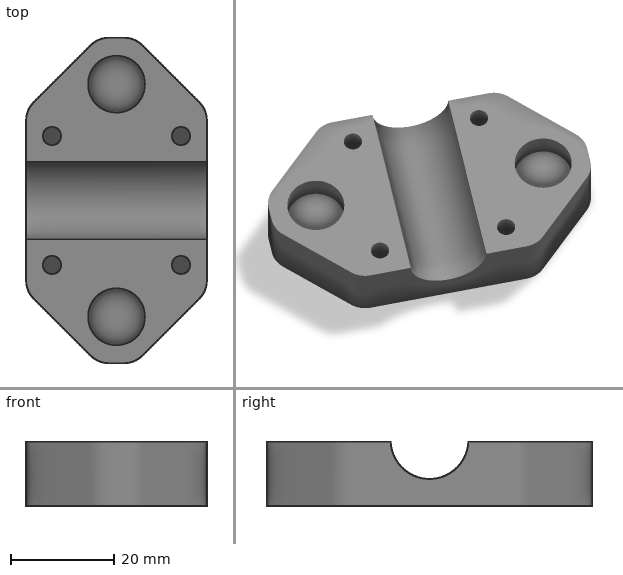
import cadquery as cq

length = 63
width = 35.0
height = 12.5
corner_chamfer = 14.0
corner_radius = 5.0

groove_radius = 7.5
groove_axis_lift = 0.3

large_diameter = 11.0
large_depth = 5.0
large_spacing = 45.0
small_diameter = 3.5
small_depth = 10.0
small_spacing = 24.95


def make_block():
    """Octagonal block with its eight upright edges rounded."""
    return (
        cq.Workplane("XY")
        .box(width, length, height, centered=(True, True, False))
        .edges("|Z")
        .chamfer(corner_chamfer)
        .edges("|Z")
        .fillet(corner_radius)
    )


def make_groove():
    """Cylinder along X that cuts the groove."""
    return (
        cq.Workplane("YZ")
        .center(0, height + groove_axis_lift)
        .circle(groove_radius)
        .extrude(width / 2, both=True)
    )


def make_holes(diameter, depth, centers):
    """Cutters for flat-bottomed holes sunk from the top face."""
    return (
        cq.Workplane("XY", origin=(0, 0, height))
        .pushPoints(centers)
        .circle(diameter / 2)
        .extrude(-depth)
    )


large_centers = [(0, side * large_spacing / 2) for side in (-1, 1)]
small_centers = [
    (x_side * small_spacing / 2, y_side * small_spacing / 2)
    for x_side in (-1, 1)
    for y_side in (-1, 1)
]

large_holes = make_holes(large_diameter, large_depth, large_centers)
small_holes = make_holes(small_diameter, small_depth, small_centers)

result = make_block().cut(make_groove()).cut(large_holes).cut(small_holes)